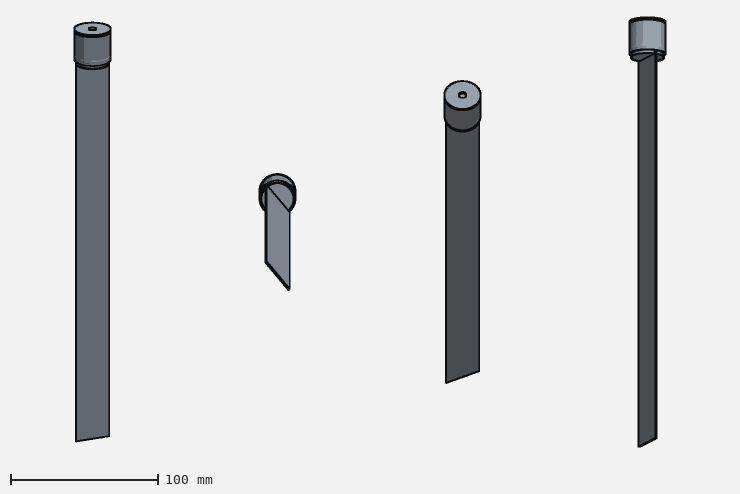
import cadquery as cq

total_height = 296.5
cap_diameter = 25.0
cap_height = 22.5
cap_bottom = total_height - cap_height

wall_relief = 0.12
groove_top = total_height - 1.0
groove_width = 1.0
bead_bottom = cap_bottom + 1.2
bead_step = 1.0

cap_roof = 1.8
collar_diameter = 21.5
collar_height = 2.7
lip_diameter = 22.8
lip_height = 0.3
vent_diameter = 5.3

blade_thickness = 1.2
blade_width = 25.0


def disc(diameter, bottom, height):
    return cq.Workplane("XY").workplane(offset=bottom).circle(diameter / 2).extrude(height)


def make_blade():
    return cq.Workplane("XY").box(blade_thickness, blade_width, cap_bottom, centered=(True, True, False))


def make_cap():
    rim_radius = cap_diameter / 2
    wall_radius = rim_radius - wall_relief
    groove_bottom = groove_top - groove_width
    shell = (
        cq.Workplane("XZ")
        .moveTo(0, cap_bottom)
        .lineTo(wall_radius, cap_bottom)
        .lineTo(wall_radius, bead_bottom)
        .lineTo(rim_radius, bead_bottom + bead_step)
        .lineTo(rim_radius, bead_bottom + 2 * bead_step)
        .lineTo(wall_radius, bead_bottom + 3 * bead_step)
        .lineTo(wall_radius, groove_bottom)
        .lineTo(wall_radius - wall_relief, groove_bottom)
        .lineTo(wall_radius - wall_relief, groove_top)
        .lineTo(rim_radius, groove_top)
        .lineTo(rim_radius, total_height)
        .lineTo(0, total_height)
        .close()
        .revolve(360, (0, 0), (0, 1))
    )
    bore = disc(collar_diameter, cap_bottom, cap_height - cap_roof)
    vent = disc(vent_diameter, total_height - cap_roof, cap_roof)
    return shell.cut(bore).cut(vent)


def make_plug():
    collar_bottom = cap_bottom - collar_height
    stem = disc(collar_diameter, collar_bottom, collar_height + cap_height - cap_roof)
    lip = disc(lip_diameter, collar_bottom, lip_height)
    return stem.union(lip).cut(make_blade())


cap = make_cap()
plug = make_plug()
blade = make_blade()
result = cq.Compound.makeCompound([cap.val(), plug.val(), blade.val()])